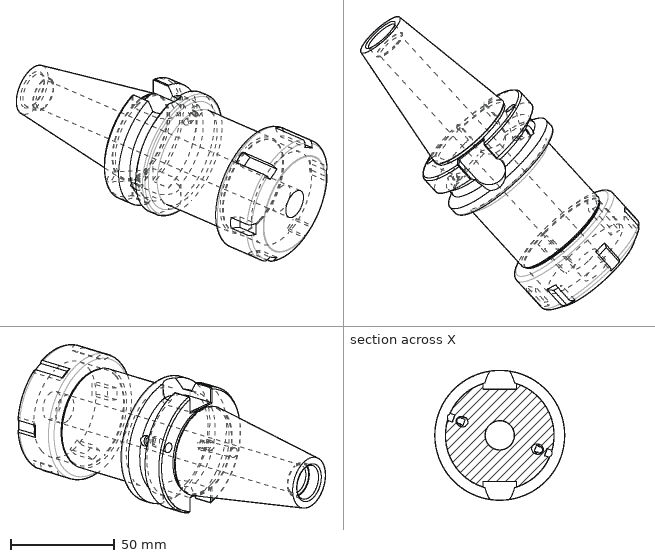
import cadquery as cq
import math


total_length = 160.1
flange_radius = 31.5
nut_radius = flange_radius

match_tolerance = 0.02

taper_ratio = 7 / 24
taper_large_radius = 22.33
taper_length = 65.8
taper_small_radius = taper_large_radius - taper_length * taper_ratio / 2
relief_radius = 21.8

flange_start = 67.2
flange_end = 92.2
flange_front_chamfer = 1.0
flange_back_fillet = 1.0
groove_center = 82.0
groove_floor_width = 4.5
groove_floor_radius = 26.4
groove_wall_angle = 60.0
groove_wall_run = (flange_radius - groove_floor_radius) / math.tan(math.radians(groove_wall_angle))

neck_radius = 25.0
neck_fillet = 3.0
neck_end = 134.5
neck_chamfer = 0.8
spigot_radius = neck_radius - neck_chamfer

bore_radius = 7.0
counterbore_radius = 8.5
counterbore_depth = 6.7
step_radius = 8.0
counterbore_mouth_chamfer = 1.0

keyway_width = 16.0
keyway_floor = 22.4
keyway_end = 88.7
keyway_edge_chamfer = 0.5

coolant_angle = 200.0
face_hole_diameter = 4.8
face_hole_radial_position = 26.9
face_hole_slope = 30.0
radial_hole_diameter = 3.2
radial_counterbore_diameter = 5.1
radial_counterbore_floor = 23.9

nut_start = 135.0
nut_front_wall = 8.0
nut_rear_fillet = 2.0
nut_front_radius = 24.8
nut_cone_angle = 60.0
nut_cone_fillet = 2.2
nut_front_fillet = 0.8
nut_cone_run = (nut_radius - nut_front_radius) / math.tan(math.radians(nut_cone_angle))
spigot_end = total_length - nut_front_wall

wrench_slot_width = 6.2
wrench_slot_floor = 28.3
long_slot_start = 138.3
short_slot_start = 145.0
long_slot_angles = (60, 120)
short_slot_angles = (0, 180, 240, 300)


def turned(points):
    """Revolve a closed (x, radius) outline about the X axis."""
    return cq.Workplane("XY").polyline(points).close().revolve(360, (0, 0, 0), (1, 0, 0))


def holder_blank():
    """Taper, grooved flange, neck and spigot, with the neck fillet blended into the flange."""
    groove_half = groove_floor_width / 2
    outline = (
        cq.Workplane("XY")
        .moveTo(0, 0)
        .lineTo(0, taper_small_radius)
        .lineTo(taper_length, taper_large_radius)
        .lineTo(taper_length, relief_radius)
        .lineTo(flange_start, relief_radius)
        .lineTo(flange_start, flange_radius - flange_front_chamfer)
        .lineTo(flange_start + flange_front_chamfer, flange_radius)
        .lineTo(groove_center - groove_half - groove_wall_run, flange_radius)
        .lineTo(groove_center - groove_half, groove_floor_radius)
        .lineTo(groove_center + groove_half, groove_floor_radius)
        .lineTo(groove_center + groove_half + groove_wall_run, flange_radius)
        .lineTo(flange_end - flange_back_fillet, flange_radius)
        .radiusArc((flange_end, flange_radius - flange_back_fillet), flange_back_fillet)
        .lineTo(flange_end, neck_radius + neck_fillet)
        .radiusArc((flange_end + neck_fillet, neck_radius), -neck_fillet)
        .lineTo(neck_end - neck_chamfer, neck_radius)
        .lineTo(neck_end, spigot_radius)
        .lineTo(spigot_end, spigot_radius)
        .lineTo(spigot_end, 0)
        .close()
    )
    return outline.revolve(360, (0, 0, 0), (1, 0, 0))


def holder_bore():
    """Through bore with a chamfered mouth, and a counterbore whose step leads in at 45 degrees."""
    lead_in = step_radius - bore_radius
    return turned([
        (0, 0),
        (0, counterbore_radius + counterbore_mouth_chamfer),
        (counterbore_mouth_chamfer, counterbore_radius),
        (counterbore_depth, counterbore_radius),
        (counterbore_depth, step_radius),
        (counterbore_depth + lead_in, bore_radius),
        (spigot_end, bore_radius),
        (spigot_end, 0),
    ])


def keyway_cutter():
    """Slot open toward the taper, with a round far end and a flat floor."""
    half_width = keyway_width / 2
    return (
        cq.Workplane("XY")
        .workplane(offset=keyway_floor)
        .moveTo(taper_length, -half_width)
        .lineTo(keyway_end - half_width, -half_width)
        .threePointArc((keyway_end, 0), (keyway_end - half_width, half_width))
        .lineTo(taper_length, half_width)
        .close()
        .extrude(flange_radius - keyway_floor)
    )


def keyway_rim_edges(body):
    """Edges where the keyway walls and floor meet the front face, front chamfer and rim of the flange."""
    rim_end = groove_center - groove_floor_width / 2 - groove_wall_run

    def on_rim(edge):
        center = edge.Center()
        height = abs(center.z)
        on_wall = abs(abs(center.y) - keyway_width / 2) < match_tolerance
        on_wall_rim = on_wall and center.x < rim_end and height > keyway_floor + match_tolerance
        on_front = abs(center.x - flange_start) < match_tolerance
        on_floor_rim = on_front and abs(height - keyway_floor) < match_tolerance
        return on_wall_rim or on_floor_rim

    return body.edges().filter(on_rim)


def coolant_cutter(angle):
    """Sloping face hole, radial hole and its counterbore, turned about X to the given angle."""
    slope = math.radians(face_hole_slope)
    run = groove_center - flange_start
    meeting_radius = face_hole_radial_position - run * math.tan(slope)
    direction = cq.Vector(math.cos(slope), -math.sin(slope), 0)
    entry = cq.Vector(flange_start, face_hole_radial_position, 0)
    lead = face_hole_diameter / 2
    face_hole = cq.Solid.makeCylinder(
        face_hole_diameter / 2, run / math.cos(slope) + lead, entry - direction * lead, direction
    )

    def radial_hole(diameter, floor_radius):
        floor = cq.Vector(groove_center, floor_radius, 0)
        return cq.Solid.makeCylinder(diameter / 2, flange_radius - floor_radius, floor, cq.Vector(0, 1, 0))

    cutter = (
        cq.Workplane(face_hole)
        .union(cq.Workplane(radial_hole(radial_hole_diameter, meeting_radius)))
        .union(cq.Workplane(radial_hole(radial_counterbore_diameter, radial_counterbore_floor)))
    )
    return cutter.rotate((0, 0, 0), (1, 0, 0), angle)


def make_holder():
    """Tool holder body."""
    body = holder_blank().cut(holder_bore())
    for half_turn in (0, 180):
        body = body.cut(keyway_cutter().rotate((0, 0, 0), (1, 0, 0), half_turn))
    body = keyway_rim_edges(body).chamfer(keyway_edge_chamfer)
    for half_turn in (0, 180):
        body = body.cut(coolant_cutter(coolant_angle + half_turn))
    return body


def nut_blank():
    """Ring with a rounded rear rim, a coned front, and a recess that fits the spigot."""
    corner_x = total_length - nut_cone_run
    blank = turned([
        (nut_start, 0),
        (nut_start, nut_radius),
        (corner_x, nut_radius),
        (total_length, nut_front_radius),
        (total_length, 0),
    ])
    blank = blank.faces("<X").edges().fillet(nut_rear_fillet)
    cone_corner = blank.edges().filter(lambda edge: abs(edge.Center().x - corner_x) < match_tolerance)
    blank = cone_corner.fillet(nut_cone_fillet)
    blank = blank.faces(">X").edges().fillet(nut_front_fillet)
    cavity = turned([
        (nut_start, 0),
        (nut_start, spigot_radius),
        (spigot_end, spigot_radius),
        (spigot_end, bore_radius),
        (total_length, bore_radius),
        (total_length, 0),
    ])
    return blank.cut(cavity)


def wrench_slot_cutter(start, angle):
    """Slot open at the front of the nut; angle is measured from +Y toward +Z."""
    depth = nut_radius - wrench_slot_floor
    return (
        cq.Workplane("XY")
        .moveTo(start, nut_radius)
        .lineTo(start + depth, wrench_slot_floor)
        .lineTo(total_length, wrench_slot_floor)
        .lineTo(total_length, nut_radius)
        .close()
        .extrude(wrench_slot_width / 2, both=True)
        .rotate((0, 0, 0), (1, 0, 0), angle)
    )


def make_nut():
    """Clamping nut with six wrench slots."""
    body = nut_blank()
    for angle in long_slot_angles:
        body = body.cut(wrench_slot_cutter(long_slot_start, angle))
    for angle in short_slot_angles:
        body = body.cut(wrench_slot_cutter(short_slot_start, angle))
    return body


holder = make_holder()
nut = make_nut()

result = cq.Compound.makeCompound([holder.solids().val(), nut.solids().val()])